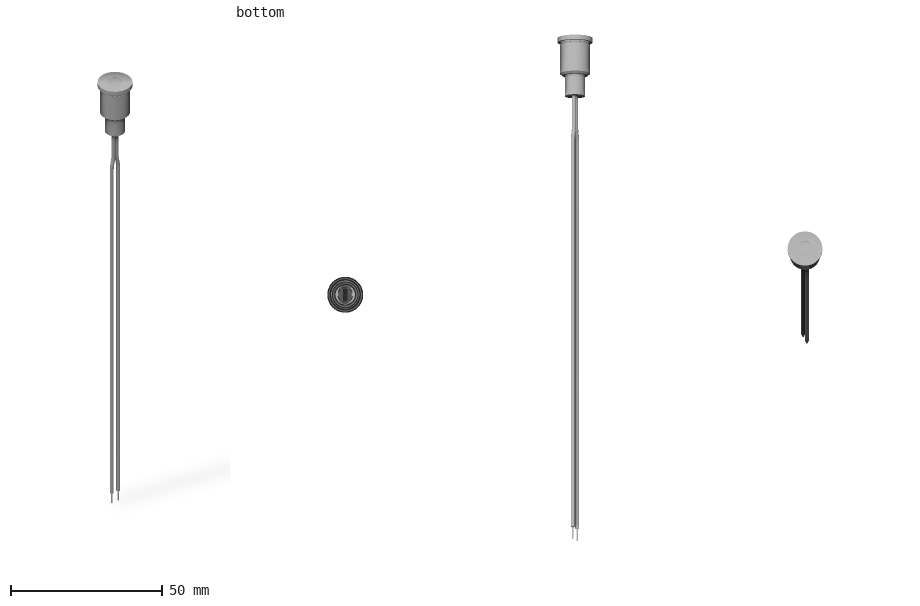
import cadquery as cq

TOTAL_LENGTH = 169.5
FLANGE_THICKNESS = 1.5
COLLAR_HEIGHT = 0.5
GROOVE_HEIGHT = 0.5
BODY_BOTTOM = TOTAL_LENGTH - 12.0
TAPER_HEIGHT = 0.7
TAIL_BOTTOM = TOTAL_LENGTH - 19.7

FLANGE_DIAMETER = 11.5
GROOVE_DIAMETER = 9.7
BODY_DIAMETER = 10.0
TAPER_END_DIAMETER = 8.5
TAIL_DIAMETER = 6.8

LENS_DIAMETER = 5.0
LENS_DEPTH = 0.08

WIRE_DIAMETER = 1.3
CORE_DIAMETER = 0.6
CORE_LENGTH = 4.0
WIRE_OVERLAP = 0.03
NEAR_OFFSET = (WIRE_DIAMETER - WIRE_OVERLAP) / 2
FAR_OFFSET = 1.27
BEND_TOP = TOTAL_LENGTH - 29.7
BEND_BOTTOM = TOTAL_LENGTH - 34.7


def make_housing():
    """Revolve the flange, collar, groove, body, taper and tail around Z."""
    flange_bottom = TOTAL_LENGTH - FLANGE_THICKNESS
    groove_top = flange_bottom - COLLAR_HEIGHT
    groove_bottom = groove_top - GROOVE_HEIGHT
    taper_bottom = BODY_BOTTOM - TAPER_HEIGHT
    profile = [
        (0, TOTAL_LENGTH),
        (FLANGE_DIAMETER / 2, TOTAL_LENGTH),
        (FLANGE_DIAMETER / 2, flange_bottom),
        (BODY_DIAMETER / 2, flange_bottom),
        (BODY_DIAMETER / 2, groove_top),
        (GROOVE_DIAMETER / 2, groove_top),
        (GROOVE_DIAMETER / 2, groove_bottom),
        (BODY_DIAMETER / 2, groove_bottom),
        (BODY_DIAMETER / 2, BODY_BOTTOM),
        (TAPER_END_DIAMETER / 2, taper_bottom),
        (TAIL_DIAMETER / 2, taper_bottom),
        (TAIL_DIAMETER / 2, TAIL_BOTTOM),
        (0, TAIL_BOTTOM),
    ]
    housing = cq.Workplane("XZ").polyline(profile).close().revolve(360, (0, 0), (0, 1))
    return housing.faces(">Z").workplane().hole(LENS_DIAMETER, LENS_DEPTH)


def make_wire(side):
    """Insulated wire that bends outward, with a bare core at its tip; side is +1 or -1 along Y."""
    near = side * NEAR_OFFSET
    far = side * FAR_OFFSET
    path = (
        cq.Workplane("YZ")
        .moveTo(near, TAIL_BOTTOM)
        .lineTo(near, BEND_TOP)
        .spline([(far, BEND_BOTTOM)], tangents=[(0, -1), (0, -1)], includeCurrent=True)
        .lineTo(far, CORE_LENGTH)
    )
    insulation = (
        cq.Workplane("XY", origin=(0, near, TAIL_BOTTOM))
        .circle(WIRE_DIAMETER / 2)
        .sweep(path)
    )
    core = (
        cq.Workplane("XY", origin=(0, far, 0))
        .circle(CORE_DIAMETER / 2)
        .extrude(CORE_LENGTH)
    )
    return insulation.union(core)


result = make_housing()
for wire_side in (-1, 1):
    result = result.union(make_wire(wire_side))